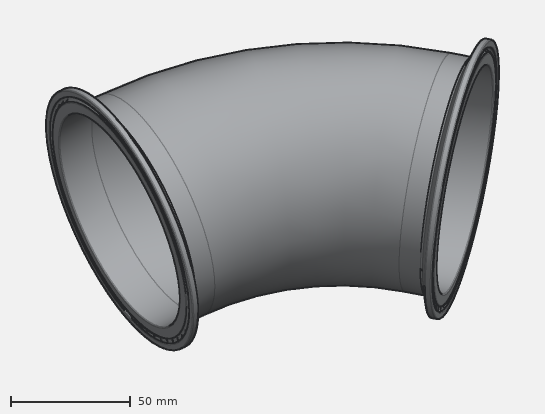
import cadquery as cq
import math

tube_diameter = 101.6
bore_diameter = 97.4
bend_radius = 152.4
bend_angle = 45.0
end_length = 15.9

flange_diameter = 119.0
rim_thickness = 2.8
cone_angle = 20.0
edge_round = 0.45
neck_round = 1.0

groove_diameter = 110.3
groove_width = 2.3
groove_depth = 1.0

tube_radius = tube_diameter / 2
bore_radius = bore_diameter / 2
flange_radius = flange_diameter / 2
groove_radius = groove_diameter / 2
cone_height = (flange_radius - tube_radius) * math.tan(math.radians(cone_angle))
neck_height = rim_thickness + cone_height


def revolve_around_z(profile):
    """Turn a closed XZ profile into a full body of revolution about Z."""
    return profile.revolve(360, (0, 0, 0), (0, 1, 0))


def make_flanged_end():
    """Straight tube end rising along +Z, with its flange face on the XY plane."""
    body = revolve_around_z(
        cq.Workplane("XZ")
        .moveTo(bore_radius, 0)
        .lineTo(flange_radius, 0)
        .lineTo(flange_radius, rim_thickness)
        .lineTo(tube_radius, neck_height)
        .lineTo(tube_radius, end_length)
        .lineTo(bore_radius, end_length)
        .close()
    )
    groove = revolve_around_z(
        cq.Workplane("XZ")
        .moveTo(groove_radius - groove_width / 2, 0)
        .threePointArc(
            (groove_radius, groove_depth),
            (groove_radius + groove_width / 2, 0),
        )
        .close()
    )
    body = body.cut(groove)

    neck_edge = cq.NearestToPointSelector((0, 0, neck_height))
    rim_back_edge = cq.NearestToPointSelector((0, 0, rim_thickness))
    body = body.edges(neck_edge).fillet(neck_round)
    body = body.edges(rim_back_edge).fillet(edge_round)
    return body.faces("<Z").edges().fillet(edge_round)


def make_bend():
    """Curved tube that starts at the end of the near straight and turns toward +X."""
    return (
        cq.Workplane("XZ", origin=(0, end_length, 0))
        .circle(tube_radius)
        .circle(bore_radius)
        .revolve(bend_angle, (bend_radius, 1.8, 0), (bend_radius, 0, 0))
    )


near_end = make_flanged_end().rotate((0, 0, 0), (1, 0, 0), -90)

bend_start = (0, end_length, 0)
far_end = near_end.mirror("XZ", bend_start).rotate(
    (bend_radius, end_length, 0),
    (bend_radius, end_length, 1),
    -bend_angle,
)

result = near_end.union(make_bend()).union(far_end)